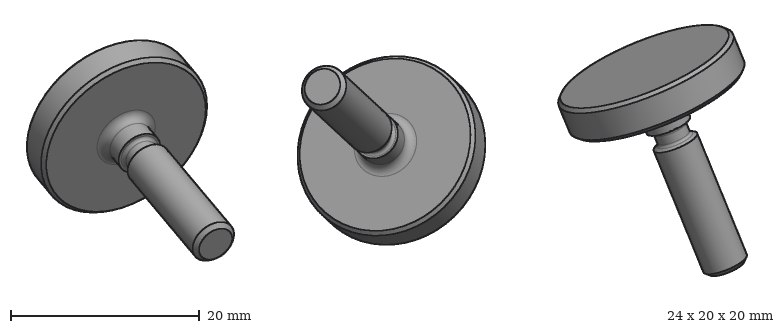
import cadquery as cq
import math

total_length = 24.0
head_diameter = 20.0
head_thickness = 4.0
head_chamfer = 0.4
stem_diameter = 5.0
head_fillet = 1.0
tip_chamfer = 0.5
groove_start = 7.0
groove_end = 9.0
groove_diameter = 3.7
groove_fillet = 0.38
groove_flank_angle = 60.0

stem_radius = stem_diameter / 2
groove_radius = groove_diameter / 2
groove_depth = stem_radius - groove_radius


def make_head():
    """Round disc with both rims chamfered."""
    disc = cq.Workplane("YZ").circle(head_diameter / 2).extrude(head_thickness)
    return disc.faces("<X or >X").edges().chamfer(head_chamfer)


def make_stem():
    """Plain pin along X with a chamfered tip, starting inside the head."""
    pin = cq.Workplane("YZ").circle(stem_radius).extrude(total_length)
    return pin.faces(">X").edges().chamfer(tip_chamfer)


def make_head_fillet():
    """Flared ring blending the stem into the back of the head."""
    arc_offset = head_fillet * (1 - math.sqrt(0.5))
    fillet_end = head_thickness + head_fillet
    return (
        cq.Workplane("XY")
        .moveTo(head_thickness, 0)
        .lineTo(head_thickness, stem_radius + head_fillet)
        .threePointArc(
            (head_thickness + arc_offset, stem_radius + arc_offset),
            (fillet_end, stem_radius),
        )
        .lineTo(fillet_end, 0)
        .close()
        .revolve(360, (0, 0, 0), (1, 0, 0))
    )


def make_groove_cutter():
    """Ring with one square and one sloped flank, rounded at the groove floor."""
    flank_run = groove_depth / math.tan(math.radians(groove_flank_angle))
    ring = (
        cq.Workplane("XY")
        .moveTo(groove_start, stem_radius)
        .lineTo(groove_start, groove_radius)
        .lineTo(groove_end - flank_run, groove_radius)
        .lineTo(groove_end, stem_radius)
        .close()
        .revolve(360, (0, 0, 0), (1, 0, 0))
    )
    floor_edges = cq.selectors.RadiusNthSelector(0)
    return ring.edges("%CIRCLE").edges(floor_edges).fillet(groove_fillet)


result = make_head().union(make_stem()).union(make_head_fillet()).cut(make_groove_cutter())